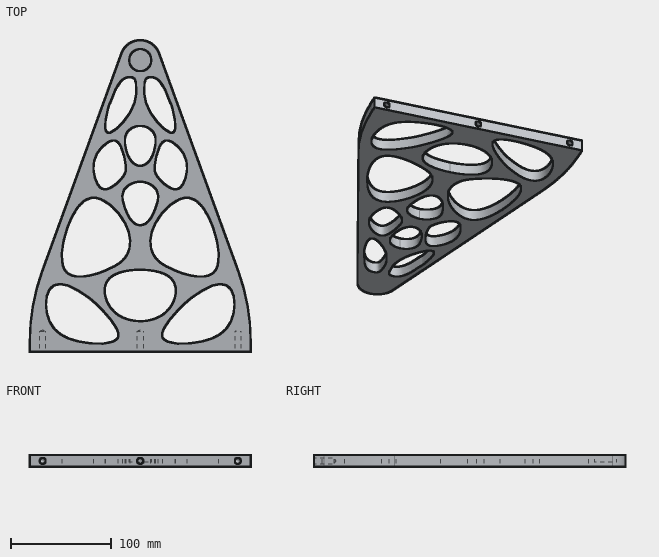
import cadquery as cq
import math

base_width = 220.0
plate_length = 310.0
thickness = 12.0
tip_radius = 20.0
shoulder_y = 10.0
shoulder_radius = 205.0

pocket_diameter = 22.0
pocket_depth = 7.0

mount_diameter = 6.0
mount_depth = 20.0
mount_edge_offset = 13.0
drill_point_angle = 118.0

lower_centre_window = [(0, 81.5), (33.5, 69), (30, 44.5), (0, 30.5)]
middle_centre_window = [(0, 169), (16, 161), (15, 142.5), (0, 126)]
upper_centre_window = [(0, 224.5), (12.5, 219), (15, 206.5), (0, 185)]

base_corner_window = [(61.5, 60.5), (90, 62), (90, 30), (62, 10.5), (22, 15), (45, 48.5)]
large_side_window = [(14.5, 94.5), (15, 127.5), (48.5, 153), (72.5, 123), (72, 78), (25, 85.5)]
small_side_window = [(14.5, 180), (16, 194), (25.5, 210), (38, 203.5), (45, 173), (37.5, 162)]
tip_side_window = [(32, 241.5), (30, 218), (17, 228.5), (4.5, 268), (5.5, 271), (12, 273), (30, 247)]

half_width = base_width / 2
tip_y = plate_length - tip_radius
shoulder_x = half_width - shoulder_radius


def point_on_circle(center_x, center_y, radius, angle):
    return (center_x + radius * math.cos(angle), center_y + radius * math.sin(angle))


def mirror_x(point):
    return (-point[0], point[1])


def plate():
    center_dx = -shoulder_x
    center_dy = tip_y - shoulder_y
    center_distance = math.hypot(center_dx, center_dy)
    center_angle = math.atan2(center_dy, center_dx)
    side_angle = center_angle - math.acos((shoulder_radius - tip_radius) / center_distance)

    base_corner = (half_width, 0)
    flank_top = (half_width, shoulder_y)
    shoulder_mid = point_on_circle(shoulder_x, shoulder_y, shoulder_radius, side_angle / 2)
    shoulder_end = point_on_circle(shoulder_x, shoulder_y, shoulder_radius, side_angle)
    tip_start = point_on_circle(0, tip_y, tip_radius, side_angle)

    return (
        cq.Workplane("XY")
        .moveTo(*mirror_x(base_corner))
        .lineTo(*base_corner)
        .lineTo(*flank_top)
        .threePointArc(shoulder_mid, shoulder_end)
        .lineTo(*tip_start)
        .threePointArc((0, plate_length), mirror_x(tip_start))
        .lineTo(*mirror_x(shoulder_end))
        .threePointArc(mirror_x(shoulder_mid), mirror_x(flank_top))
        .close()
        .extrude(thickness)
    )


def window_cutter(points):
    return cq.Workplane("XY").spline(points, periodic=True).close().extrude(thickness)


def centre_window(half_points):
    toward_right = (1, 0)
    toward_left = (-1, 0)
    mirrored_points = [mirror_x(point) for point in half_points]
    return (
        cq.Workplane("XY")
        .spline(half_points, tangents=[toward_right, toward_left], scale=False)
        .spline(list(reversed(mirrored_points)), tangents=[toward_left, toward_right], scale=False)
        .close()
        .extrude(thickness)
    )


def tip_pocket():
    floor_z = thickness - pocket_depth
    return (
        cq.Workplane("XY", origin=(0, tip_y, floor_z))
        .circle(pocket_diameter / 2)
        .extrude(pocket_depth)
    )


def mount_hole(x):
    radius = mount_diameter / 2
    point_length = radius / math.tan(math.radians(drill_point_angle / 2))
    return (
        cq.Workplane("XY", origin=(x, 0, thickness / 2))
        .lineTo(radius, 0)
        .lineTo(radius, mount_depth)
        .lineTo(0, mount_depth + point_length)
        .close()
        .revolve(axisStart=(0, 0, 0), axisEnd=(0, 1, 0))
    )


result = plate()

for half_points in (lower_centre_window, middle_centre_window, upper_centre_window):
    result = result.cut(centre_window(half_points))

for points in (base_corner_window, large_side_window, small_side_window, tip_side_window):
    result = result.cut(window_cutter(points))
    result = result.cut(window_cutter([mirror_x(point) for point in points]))

result = result.cut(tip_pocket())

mount_x = half_width - mount_edge_offset
for x in (-mount_x, 0, mount_x):
    result = result.cut(mount_hole(x))